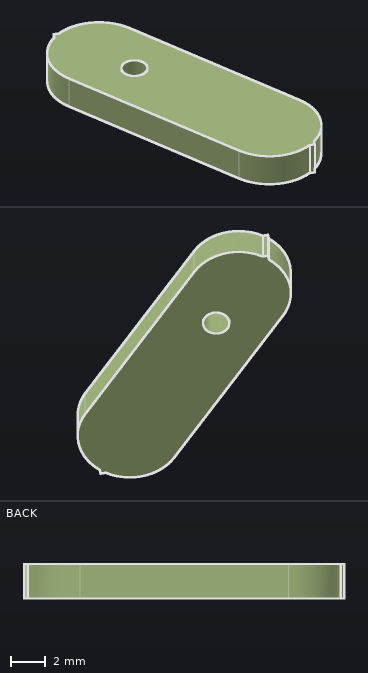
import cadquery as cq

overall_length = 18.4
width = 6.0
thickness = 2.0
end_radius = width / 2

nib_height = 0.2
nib_base_width = 0.4
nib_root_overlap = 0.18

hole_diameter = 1.5
hole_x = -3.51

body_length = overall_length - 2 * nib_height


def make_nib(direction):
    """Triangular prism pointing along +X (direction 1) or -X (direction -1)."""
    tip_x = direction * overall_length / 2
    base_x = direction * body_length / 2
    root_x = base_x - direction * nib_root_overlap
    half_base = nib_base_width / 2
    return (
        cq.Workplane("XY")
        .moveTo(root_x, -half_base)
        .lineTo(base_x, -half_base)
        .lineTo(tip_x, 0)
        .lineTo(base_x, half_base)
        .lineTo(root_x, half_base)
        .close()
        .extrude(thickness)
    )


plate = cq.Workplane("XY").slot2D(body_length, width).extrude(thickness)

for direction in (-1, 1):
    plate = plate.union(make_nib(direction))

hole = cq.Workplane("XY").center(hole_x, 0).circle(hole_diameter / 2).extrude(thickness)

result = plate.cut(hole)